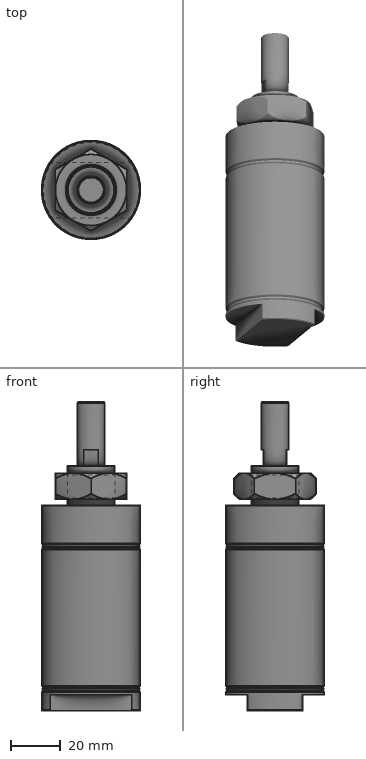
import cadquery as cq
import math

INCH = 25.4

body_radius = 1.56 * INCH / 2
body_height = 3.25 * INCH
body_top_chamfer = 0.3
body_base_chamfer = 0.4
neck_radius = 0.75 * INCH / 2
neck_length = 0.625 * INCH
neck_chamfer = 0.3
neck_top = body_height + neck_length

crimp_width = 2.6
crimp_valley_depth = 0.65
crimp_ridge_depth = 0.3
crimp_heights = (8.85, 65.95)

tongue_thickness = 0.875 * INCH
tongue_height = 6.5

rod_radius = 0.4375 * INCH / 2
rod_top = 4.88 * INCH
rod_chamfer = 0.5
rod_flat_distance = 9.4
rod_flat_height = 6.3

nut_across_flats = 28.5
nut_height = 10.5
nut_clearance = 2.35
nut_bottom = body_height + nut_clearance
nut_face_radius = nut_across_flats / 2
nut_countersink = 0.65


def crimp_profile(height):
    """Points of one double-V crimp in the radius-height plane, lower edge to upper edge."""
    quarter = crimp_width / 4
    valley_radius = body_radius - crimp_valley_depth
    return [
        (body_radius, height - 2 * quarter),
        (valley_radius, height - quarter),
        (body_radius - crimp_ridge_depth, height),
        (valley_radius, height + quarter),
        (body_radius, height + 2 * quarter),
    ]


def make_body():
    profile = [(0, 0), (body_radius - body_base_chamfer, 0), (body_radius, body_base_chamfer)]
    for height in crimp_heights:
        profile += crimp_profile(height)
    profile += [
        (body_radius, body_height - body_top_chamfer),
        (body_radius - body_top_chamfer, body_height),
        (neck_radius, body_height),
        (neck_radius, neck_top - neck_chamfer),
        (neck_radius - neck_chamfer, neck_top),
        (0, neck_top),
    ]
    body = cq.Workplane("XZ").polyline(profile).close().revolve(360, (0, 0), (0, 1))
    return body.cut(flat_cutters(body_radius, tongue_thickness, 0, tongue_height))


def flat_cutters(radius, distance_across, bottom, height):
    """Blocks that leave two parallel flats, facing -Y and +Y, on a shaft of the given radius."""
    block_length = 3 * radius
    block_depth = 2 * radius
    block_center = (distance_across + block_depth) / 2
    return (
        cq.Workplane("XY")
        .workplane(offset=bottom)
        .pushPoints([(0, -block_center), (0, block_center)])
        .rect(block_length, block_depth)
        .extrude(height)
    )


def make_rod():
    rod = cq.Workplane("XY").workplane(offset=neck_top).circle(rod_radius).extrude(rod_top - neck_top)
    rod = rod.faces(">Z").chamfer(rod_chamfer)
    return rod.cut(flat_cutters(rod_radius, rod_flat_distance, neck_top, rod_flat_height))


def make_nut():
    corner_radius = nut_across_flats / math.sqrt(3)
    corner_drop = corner_radius - nut_face_radius
    nut_top = nut_bottom + nut_height
    hexagon = (
        cq.Workplane("XY")
        .workplane(offset=nut_bottom)
        .transformed(rotate=(0, 0, 90))
        .polygon(6, 2 * corner_radius)
        .extrude(nut_height)
    )
    envelope_profile = [
        (neck_radius + nut_countersink, nut_bottom),
        (nut_face_radius, nut_bottom),
        (corner_radius, nut_bottom + corner_drop),
        (corner_radius, nut_top - corner_drop),
        (nut_face_radius, nut_top),
        (neck_radius + nut_countersink, nut_top),
        (neck_radius, nut_top - nut_countersink),
        (neck_radius, nut_bottom + nut_countersink),
    ]
    envelope = cq.Workplane("XZ").polyline(envelope_profile).close().revolve(360, (0, 0), (0, 1))
    return hexagon.intersect(envelope)


body = make_body()
rod = make_rod()
nut = make_nut()

result = cq.Compound.makeCompound([body.solids().val(), rod.solids().val(), nut.solids().val()])